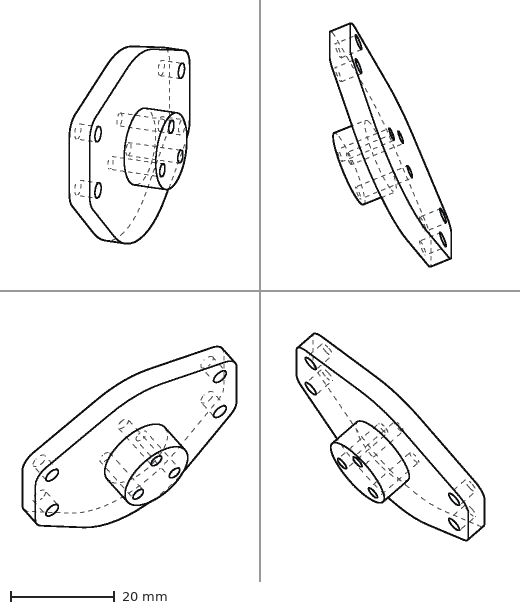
import cadquery as cq
import math

plate_thickness = 4.3
total_depth = 11.0
boss_diameter = 15.0

plate_length = 48.0
disc_radius = 18.95
corner_radius = 4.0

corner_y = plate_length / 2 - corner_radius
upper_corner_z = 9.0
lower_corner_z = -2.5
mounting_hole_diameter = 3.0

boss_hole_diameter = 2.5
boss_hole_circle_radius = 5.0
boss_hole_count = 3
first_boss_hole_angle = 90.0


def polar(radius, angle, center=(0.0, 0.0)):
    """Point at an angle (radians) on a circle in the YZ plane."""
    return (center[0] + radius * math.cos(angle), center[1] + radius * math.sin(angle))


def mirrored(point):
    """Same height on the -Y side."""
    return (-point[0], point[1])


def tangent_angle(corner_z, side):
    """Direction normal to the line touching the disc and a +Y corner; side is 1 above, -1 below."""
    distance = math.hypot(corner_y, corner_z)
    return math.atan2(corner_z, corner_y) + side * math.acos((disc_radius - corner_radius) / distance)


def make_plate():
    upper_angle = tangent_angle(upper_corner_z, 1)
    lower_angle = tangent_angle(lower_corner_z, -1)
    upper_center = (corner_y, upper_corner_z)
    lower_center = (corner_y, lower_corner_z)

    disc_upper = polar(disc_radius, upper_angle)
    corner_upper = polar(corner_radius, upper_angle, upper_center)
    corner_upper_mid = polar(corner_radius, upper_angle / 2, upper_center)
    side_upper = polar(corner_radius, 0, upper_center)
    side_lower = polar(corner_radius, 0, lower_center)
    corner_lower_mid = polar(corner_radius, lower_angle / 2, lower_center)
    corner_lower = polar(corner_radius, lower_angle, lower_center)
    disc_lower = polar(disc_radius, lower_angle)

    return (
        cq.Workplane("YZ")
        .moveTo(*disc_upper)
        .lineTo(*corner_upper)
        .threePointArc(corner_upper_mid, side_upper)
        .lineTo(*side_lower)
        .threePointArc(corner_lower_mid, corner_lower)
        .lineTo(*disc_lower)
        .threePointArc((0, -disc_radius), mirrored(disc_lower))
        .lineTo(*mirrored(corner_lower))
        .threePointArc(mirrored(corner_lower_mid), mirrored(side_lower))
        .lineTo(*mirrored(side_upper))
        .threePointArc(mirrored(corner_upper_mid), mirrored(corner_upper))
        .lineTo(*mirrored(disc_upper))
        .threePointArc((0, disc_radius), disc_upper)
        .close()
        .extrude(plate_thickness)
    )


def make_boss():
    return cq.Workplane("YZ").circle(boss_diameter / 2).extrude(total_depth)


def make_holes(points, diameter):
    return cq.Workplane("YZ").pushPoints(points).circle(diameter / 2).extrude(total_depth)


mounting_points = [(y, z) for y in (-corner_y, corner_y) for z in (lower_corner_z, upper_corner_z)]
boss_hole_points = [
    polar(boss_hole_circle_radius, math.radians(first_boss_hole_angle + i * 360 / boss_hole_count))
    for i in range(boss_hole_count)
]

result = (
    make_plate()
    .union(make_boss())
    .cut(make_holes(mounting_points, mounting_hole_diameter))
    .cut(make_holes(boss_hole_points, boss_hole_diameter))
)